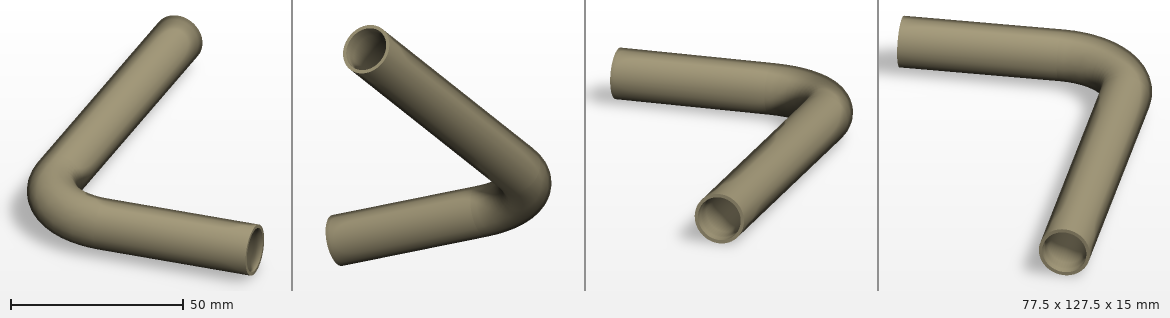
import cadquery as cq

length_x = 77.5
length_y = 127.5
outer_diameter = 15.0
inner_diameter = 13.0
bend_radius = 23.0

outer_radius = outer_diameter / 2
inner_radius = inner_diameter / 2

end_x = length_x - outer_radius
end_y = length_y - outer_radius

centreline = (
    cq.Workplane("XY")
    .moveTo(0, end_y)
    .lineTo(0, bend_radius)
    .tangentArcPoint((bend_radius, 0), relative=False)
    .lineTo(end_x, 0)
)

section = cq.Workplane("XZ", origin=(0, end_y, 0)).circle(outer_radius).circle(inner_radius)

result = section.sweep(centreline)